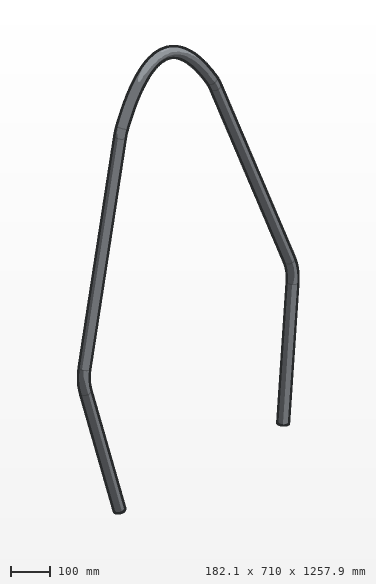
import cadquery as cq
import math

bar_diameter = 30.0
lean_angle = 7.0

apex_height = 1249.0
crown_half_width = 146.0
crown_rise = 147.0
bend_radius = 151.0
upper_leg_angle = 16.2
lower_leg_angle = 10.2
knee_span = 680.0


def bend_point(start, start_angle, end_angle):
    """Point on a bend after its direction turns from start_angle to end_angle.

    Angles are in degrees from straight down, positive outwards.
    """
    first = math.radians(start_angle)
    last = math.radians(end_angle)
    return (
        start[0] + bend_radius * (math.cos(last) - math.cos(first)),
        start[1] - bend_radius * (math.sin(first) - math.sin(last)),
    )


def run_to_width(start, angle, half_width):
    """Point on a straight run from start where it reaches half_width."""
    drop = (half_width - start[0]) / math.tan(math.radians(angle))
    return (half_width, start[1] - drop)


crown_end_angle = math.degrees(math.atan2(crown_half_width, 2 * crown_rise))
crown_end = (crown_half_width, apex_height - crown_rise)
shoulder_mid = bend_point(crown_end, crown_end_angle, (crown_end_angle + upper_leg_angle) / 2)
shoulder_end = bend_point(crown_end, crown_end_angle, upper_leg_angle)

knee_start_width = knee_span / 2 - bend_radius * (1 - math.cos(math.radians(upper_leg_angle)))
knee_start = run_to_width(shoulder_end, upper_leg_angle, knee_start_width)
knee_mid = bend_point(knee_start, upper_leg_angle, 0)
knee_end = bend_point(knee_start, upper_leg_angle, -lower_leg_angle)
foot_drop = knee_end[1]
foot = (knee_end[0] - foot_drop * math.tan(math.radians(lower_leg_angle)), 0)


def side_edges(side):
    """Centreline edges of one side, foot to crown; side is +1 or -1 along Y."""

    def at(point):
        return cq.Vector(side * point[0], point[1], 0)

    return [
        cq.Edge.makeLine(at(foot), at(knee_end)),
        cq.Edge.makeThreePointArc(at(knee_end), at(knee_mid), at(knee_start)),
        cq.Edge.makeLine(at(knee_start), at(shoulder_end)),
        cq.Edge.makeThreePointArc(at(shoulder_end), at(shoulder_mid), at(crown_end)),
    ]


crown = cq.Edge.makeBezier([
    cq.Vector(-crown_end[0], crown_end[1], 0),
    cq.Vector(0, apex_height + crown_rise, 0),
    cq.Vector(crown_end[0], crown_end[1], 0),
])
centreline = cq.Wire.assembleEdges(side_edges(-1) + [crown] + side_edges(1)[::-1])

foot_plane = cq.Plane(
    origin=(-foot[0], foot[1], 0),
    xDir=(0, 0, 1),
    normal=(foot[0] - knee_end[0], knee_end[1] - foot[1], 0),
)
flat_bar = cq.Workplane(foot_plane).circle(bar_diameter / 2).sweep(cq.Workplane(obj=centreline))

leaning_plane = cq.Plane(
    origin=(0, 0, 0),
    xDir=(0, 1, 0),
    normal=(math.cos(math.radians(lean_angle)), 0, math.sin(math.radians(lean_angle))),
)
result = cq.Workplane(obj=flat_bar.val().moved(cq.Location(leaning_plane)))